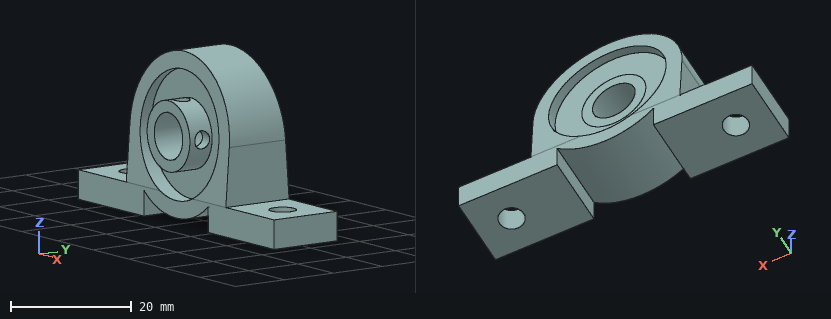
import cadquery as cq

overall_depth = 14.5
base_length = 55.0
base_depth = 13.0
base_height = 5.0
foot_gap = 18.05
axis_height = 15.0
block_radius = 13.95
block_top_depth = 9.55
block_top = axis_height + block_radius
mount_hole_diameter = 4.5
mount_hole_spacing = 42.0

bearing_diameter = 22.0
bearing_width = 7.0
inner_ring_diameter = 12.0
shaft_diameter = 8.0
collar_front = base_depth / 2 - overall_depth
set_screw_diameter = 3.0
set_screw_y = -5.5


def cylinder_along_y(diameter, y_front, y_back):
    """Cylinder on the bearing axis between two Y positions."""
    return (
        cq.Workplane("XZ", origin=(0, y_front, axis_height))
        .circle(diameter / 2)
        .extrude(y_front - y_back)
    )


def make_block():
    """Arched block whose front and back faces lean inward above the base."""
    arch = cylinder_along_y(2 * block_radius, -base_depth / 2, base_depth / 2)
    column = cq.Workplane("XY", origin=(0, 0, base_height)).box(
        2 * block_radius, base_depth, axis_height - base_height, centered=(True, True, False)
    )
    side_profile = (
        cq.Workplane("YZ", origin=(-block_radius, 0, 0))
        .moveTo(-base_depth / 2, 0)
        .lineTo(base_depth / 2, 0)
        .lineTo(base_depth / 2, base_height)
        .lineTo(block_top_depth / 2, block_top)
        .lineTo(-block_top_depth / 2, block_top)
        .lineTo(-base_depth / 2, base_height)
        .close()
        .extrude(2 * block_radius)
    )
    return arch.union(column).intersect(side_profile)


def make_housing():
    """Block on two feet, bored for the bearing and the mounting bolts."""
    foot_length = (base_length - foot_gap) / 2
    foot_x = (foot_gap + foot_length) / 2
    feet = (
        cq.Workplane("XY")
        .pushPoints([(-foot_x, 0), (foot_x, 0)])
        .box(foot_length, base_depth, base_height, centered=(True, True, False))
    )
    mount_holes = (
        cq.Workplane("XY")
        .pushPoints([(-mount_hole_spacing / 2, 0), (mount_hole_spacing / 2, 0)])
        .circle(mount_hole_diameter / 2)
        .extrude(base_height)
    )
    bore = cylinder_along_y(bearing_diameter, -base_depth / 2, base_depth / 2)
    return make_block().union(feet).cut(mount_holes).cut(bore)


def make_outer_ring():
    """Bearing ring, centred in the depth of the housing."""
    ring = cylinder_along_y(bearing_diameter, -bearing_width / 2, bearing_width / 2)
    return ring.cut(cylinder_along_y(inner_ring_diameter, -bearing_width / 2, bearing_width / 2))


def make_inner_ring():
    """Inner ring extended forward as a collar with two set-screw holes at right angles."""
    ring = cylinder_along_y(inner_ring_diameter, collar_front, bearing_width / 2)
    ring = ring.cut(cylinder_along_y(shaft_diameter, collar_front, bearing_width / 2))
    hole_start = cq.Vector(0, set_screw_y, axis_height)
    for direction in (cq.Vector(0, 0, 1), cq.Vector(1, 0, 0)):
        hole = cq.Solid.makeCylinder(
            set_screw_diameter / 2, inner_ring_diameter / 2, hole_start, direction
        )
        ring = ring.cut(cq.Workplane(hole))
    return ring


housing = make_housing()
outer_ring = make_outer_ring()
inner_ring = make_inner_ring()

result = cq.Compound.makeCompound([housing.val(), outer_ring.val(), inner_ring.val()])